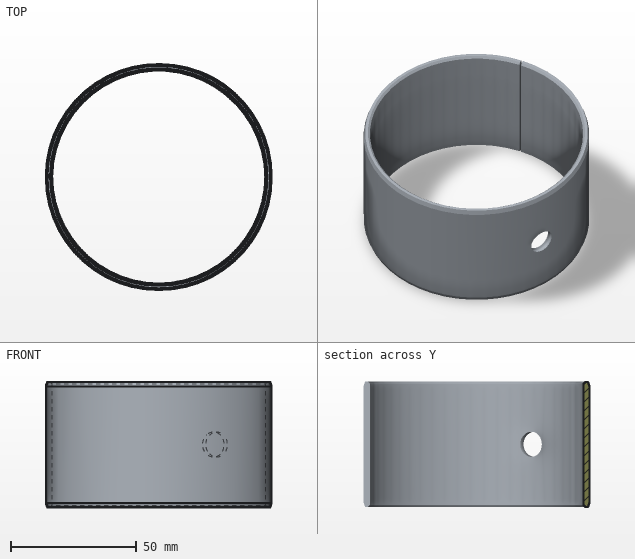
import cadquery as cq

outer_diameter = 90.0
wall = 2.5
length = 50.0
inner_radius = outer_diameter / 2 - wall

outer_chamfer_length = 1.8
outer_chamfer_depth = 0.6
inner_chamfer = 0.8

split_width = 0.7

hole_diameter = 10.0
hole_angle = 59.0
hole_height = length / 2


def make_sleeve():
    """Revolve the wall section, with both ends chamfered inside and outside."""
    outer_radius = outer_diameter / 2
    section = [
        (inner_radius, inner_chamfer),
        (inner_radius + inner_chamfer, 0),
        (outer_radius - outer_chamfer_depth, 0),
        (outer_radius, outer_chamfer_length),
        (outer_radius, length - outer_chamfer_length),
        (outer_radius - outer_chamfer_depth, length),
        (inner_radius + inner_chamfer, length),
        (inner_radius, length - inner_chamfer),
    ]
    profile = cq.Workplane("XZ").polyline(section).close()
    return profile.revolve(360, (0, 0, 0), (0, 1, 0))


def make_split():
    """Thin full-length slot through the wall on the -X side."""
    slot = cq.Workplane("XY").box(outer_diameter, split_width, length, centered=(True, False, False))
    return slot.translate((-outer_diameter / 2, 0, 0))


def make_oil_hole():
    """Round hole running outwards from the axis through one side of the wall."""
    hole = cq.Workplane("YZ").center(0, hole_height).circle(hole_diameter / 2).extrude(outer_diameter)
    return hole.rotate((0, 0, 0), (0, 0, 1), hole_angle)


result = make_sleeve().cut(make_split()).cut(make_oil_hole())